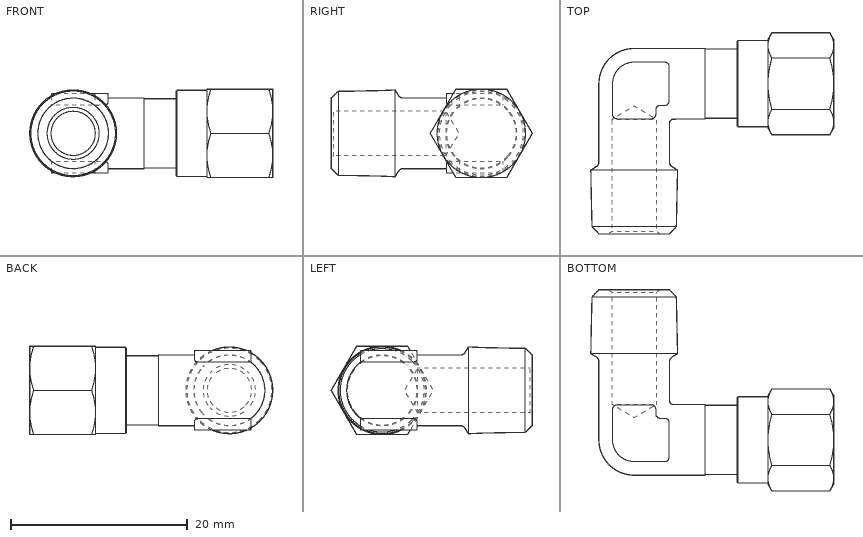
import cadquery as cq
import math

body_radius = 4.02
body_end = 8.03
crotch_fillet = 0.4
position_tolerance = 0.003

tube_radius = 3.93
collar_start = 11.6
collar_radius = 4.9
collar_chamfer = 0.16
nut_start = 15.12
nut_end = 22.58
nut_across_flats = 10.0
nut_across_corners = nut_across_flats / math.cos(math.radians(30))
nut_chamfer_angle = 30

neck_start = 8.95
neck_cone_start = 9.32
neck_cone_radius = 4.24
neck_arc_rise = 0.05
thread_start = 9.75
thread_large_radius = 4.92
thread_chamfer_start = 16.17
thread_small_radius = 4.78
inlet_end = 17.0
inlet_end_radius = 4.0

bore_radius = 2.5
bore_mouth_radius = 2.95
bore_mouth_depth = 0.3
bore_bottom = 4.02
drill_tip_angle = 118

pad_half_width = 2.45
pad_reach = 3.95
pad_top = 4.5
pad_corner_fillet = 0.5
pad_edge_fillet = 0.1


def make_elbow():
    outlet = cq.Workplane("YZ").circle(body_radius).extrude(body_end)
    inlet = cq.Workplane("XZ").circle(body_radius).extrude(neck_start)
    return outlet.union(inlet).union(cq.Workplane("XY").sphere(body_radius))


def make_pad():
    """L-shaped pad with a round outer corner, starting at the pipe axes."""
    arc_mid = pad_half_width * math.sqrt(0.5)
    pad = (
        cq.Workplane("XY")
        .moveTo(-pad_half_width, 0)
        .threePointArc((-arc_mid, arc_mid), (0, pad_half_width))
        .lineTo(pad_reach, pad_half_width)
        .lineTo(pad_reach, -pad_half_width)
        .lineTo(pad_half_width, -pad_half_width)
        .lineTo(pad_half_width, -pad_reach)
        .lineTo(-pad_half_width, -pad_reach)
        .close()
        .extrude(pad_top)
    )
    corners = (
        (pad_reach, pad_half_width),
        (pad_reach, -pad_half_width),
        (pad_half_width, -pad_half_width),
        (pad_half_width, -pad_reach),
        (-pad_half_width, -pad_reach),
    )
    mid_height = pad_top / 2
    for x, y in corners:
        pad = pad.edges(cq.NearestToPointSelector((x, y, mid_height))).fillet(pad_corner_fillet)
    return pad.faces(">Z").edges().fillet(pad_edge_fillet)


def fillet_crotch(part):
    """Round the inner mitre where the outlet and inlet cylinders meet."""
    def is_mitre(edge):
        center = edge.Center()
        on_diagonal = abs(center.x + center.y) < position_tolerance
        return edge.geomType() in ("ELLIPSE", "BSPLINE") and on_diagonal and center.x > pad_half_width

    return part.edges().filter(is_mitre).fillet(crotch_fillet)


def make_outlet_tube():
    tube = (
        cq.Workplane("YZ", origin=(body_end, 0, 0))
        .circle(tube_radius)
        .extrude(nut_start - body_end)
    )
    collar = (
        cq.Workplane("YZ", origin=(collar_start, 0, 0))
        .circle(collar_radius)
        .extrude(nut_start - collar_start)
        .faces("<X")
        .chamfer(collar_chamfer)
    )
    return tube.union(collar)


def make_nut():
    """Hexagon with corners on Y, both ends turned to a cone."""
    hexagon = (
        cq.Workplane("YZ", origin=(nut_start, 0, 0))
        .polygon(6, nut_across_corners)
        .extrude(nut_end - nut_start)
    )
    flat_radius = nut_across_flats / 2
    corner_radius = nut_across_corners / 2
    cone_length = (corner_radius - flat_radius) * math.tan(math.radians(nut_chamfer_angle))
    envelope = (
        cq.Workplane("XY")
        .moveTo(nut_start, 0)
        .lineTo(nut_start, flat_radius)
        .lineTo(nut_start + cone_length, corner_radius)
        .lineTo(nut_end - cone_length, corner_radius)
        .lineTo(nut_end, flat_radius)
        .lineTo(nut_end, 0)
        .close()
        .revolve(360, (0, 0, 0), (1, 0, 0))
    )
    return hexagon.intersect(envelope)


def make_threaded_end():
    neck_arc_mid = (body_radius + neck_arc_rise, -(neck_start + neck_cone_start) / 2)
    return (
        cq.Workplane("XY")
        .moveTo(0, -neck_start)
        .lineTo(body_radius, -neck_start)
        .threePointArc(neck_arc_mid, (neck_cone_radius, -neck_cone_start))
        .lineTo(thread_large_radius, -thread_start)
        .lineTo(thread_small_radius, -thread_chamfer_start)
        .lineTo(inlet_end_radius, -inlet_end)
        .lineTo(0, -inlet_end)
        .close()
        .revolve(360, (0, 0, 0), (0, 1, 0))
    )


def make_bore():
    tip_depth = bore_radius / math.tan(math.radians(drill_tip_angle / 2))
    return (
        cq.Workplane("XY")
        .moveTo(0, -inlet_end)
        .lineTo(bore_mouth_radius, -inlet_end)
        .lineTo(bore_radius, -inlet_end + bore_mouth_depth)
        .lineTo(bore_radius, -bore_bottom)
        .lineTo(0, -bore_bottom + tip_depth)
        .close()
        .revolve(360, (0, 0, 0), (0, 1, 0))
    )


top_pad = make_pad()
bottom_pad = top_pad.mirror("XY")
elbow = make_elbow().union(top_pad).union(bottom_pad)
elbow = fillet_crotch(elbow)
outlet_end = make_outlet_tube().union(make_nut())
result = elbow.union(outlet_end).union(make_threaded_end()).cut(make_bore())